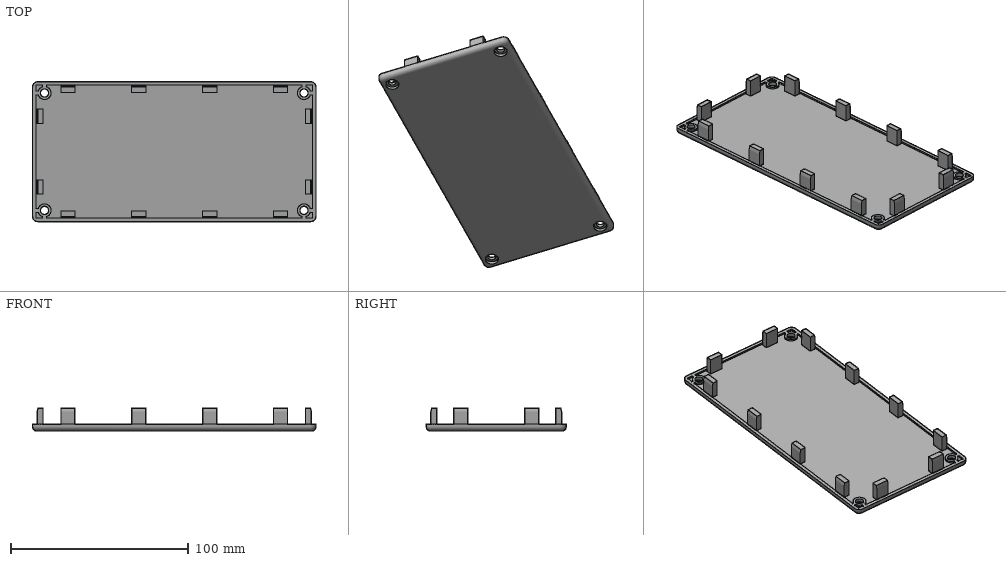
import cadquery as cq

LENGTH = 160.0
WIDTH = 79.0
PLATE_HEIGHT = 4.0
CORNER_RADIUS = 3.0
BOTTOM_RADIUS = 2.5

RECESS_LENGTH = 156.0
RECESS_DEPTH = 1.0
RIM_WIDTH = (LENGTH - RECESS_LENGTH) / 2
RECESS_WIDTH = WIDTH - 2 * RIM_WIDTH
FLOOR_HEIGHT = PLATE_HEIGHT - RECESS_DEPTH

HOLE_SPACING_X = 146.4
HOLE_SPACING_Y = 66.2
HOLE_DIAMETER = 4.5
BOSS_DIAMETER = 7.4
COUNTERBORE_DIAMETER = BOSS_DIAMETER
COUNTERBORE_DEPTH = 2.0
WEB_WIDTH = 2.0

TOTAL_HEIGHT = 13.0
TAB_WIDTH = 8.0
TAB_THICKNESS = 3.5
TAB_INSET = 2.5
TAB_PITCH = 40.0
LONG_EDGE_TABS = 4
SHORT_EDGE_TABS = 2
LEAD_IN_DEPTH = 0.5
LEAD_IN_HEIGHT = 2.0


def make_tray():
    """Plate with rounded corners and bottom edge, recessed inside the rim."""
    plate = (
        cq.Workplane("XY")
        .rect(LENGTH, WIDTH)
        .extrude(PLATE_HEIGHT)
        .edges("|Z")
        .fillet(CORNER_RADIUS)
        .faces("<Z")
        .edges()
        .fillet(BOTTOM_RADIUS)
    )
    recess = (
        cq.Workplane("XY", origin=(0, 0, FLOOR_HEIGHT))
        .rect(RECESS_LENGTH, RECESS_WIDTH)
        .extrude(RECESS_DEPTH)
    )
    return plate.cut(recess)


def make_boss(side_x, side_y):
    """Boss in the corner picked by the signs, with one web to each adjoining rim."""
    hole_x = side_x * HOLE_SPACING_X / 2
    hole_y = side_y * HOLE_SPACING_Y / 2
    web_length_x = (LENGTH - HOLE_SPACING_X - RIM_WIDTH) / 2
    web_length_y = (WIDTH - HOLE_SPACING_Y - RIM_WIDTH) / 2

    base = cq.Workplane("XY", origin=(hole_x, hole_y, FLOOR_HEIGHT))
    boss = base.circle(BOSS_DIAMETER / 2).extrude(RECESS_DEPTH)
    web_x = base.center(side_x * web_length_x / 2, 0).rect(web_length_x, WEB_WIDTH).extrude(RECESS_DEPTH)
    web_y = base.center(0, side_y * web_length_y / 2).rect(WEB_WIDTH, web_length_y).extrude(RECESS_DEPTH)
    return boss.union(web_x).union(web_y)


def make_tab_row(edge_distance, count, angle):
    """Row of tabs along the edge that faces -Y, turned about Z by the given angle.

    Each tab has a sloped lead-in at the top of its outer face.
    """
    outer = -edge_distance + TAB_INSET
    inner = outer + TAB_THICKNESS
    row = cq.Workplane("XY")
    for i in range(count):
        center_x = (i - (count - 1) / 2) * TAB_PITCH
        tab = (
            cq.Workplane("YZ", origin=(center_x - TAB_WIDTH / 2, 0, 0))
            .moveTo(inner, FLOOR_HEIGHT)
            .lineTo(inner, TOTAL_HEIGHT)
            .lineTo(outer + LEAD_IN_DEPTH, TOTAL_HEIGHT)
            .lineTo(outer, TOTAL_HEIGHT - LEAD_IN_HEIGHT)
            .lineTo(outer, FLOOR_HEIGHT)
            .close()
            .extrude(TAB_WIDTH)
        )
        row = row.union(tab)
    return row.rotate((0, 0, 0), (0, 0, 1), angle)


def make_screw_holes():
    """Through holes with counterbores opening on the underside."""
    holes = (
        cq.Workplane("XY")
        .rect(HOLE_SPACING_X, HOLE_SPACING_Y, forConstruction=True)
        .vertices()
        .circle(HOLE_DIAMETER / 2)
        .extrude(PLATE_HEIGHT)
    )
    counterbores = (
        cq.Workplane("XY")
        .rect(HOLE_SPACING_X, HOLE_SPACING_Y, forConstruction=True)
        .vertices()
        .circle(COUNTERBORE_DIAMETER / 2)
        .extrude(COUNTERBORE_DEPTH)
    )
    return holes.union(counterbores)


result = make_tray()
for side_x in (-1, 1):
    for side_y in (-1, 1):
        result = result.union(make_boss(side_x, side_y))
for turn in (0, 180):
    result = result.union(make_tab_row(WIDTH / 2, LONG_EDGE_TABS, turn))
    result = result.union(make_tab_row(LENGTH / 2, SHORT_EDGE_TABS, turn + 90))
result = result.cut(make_screw_holes())